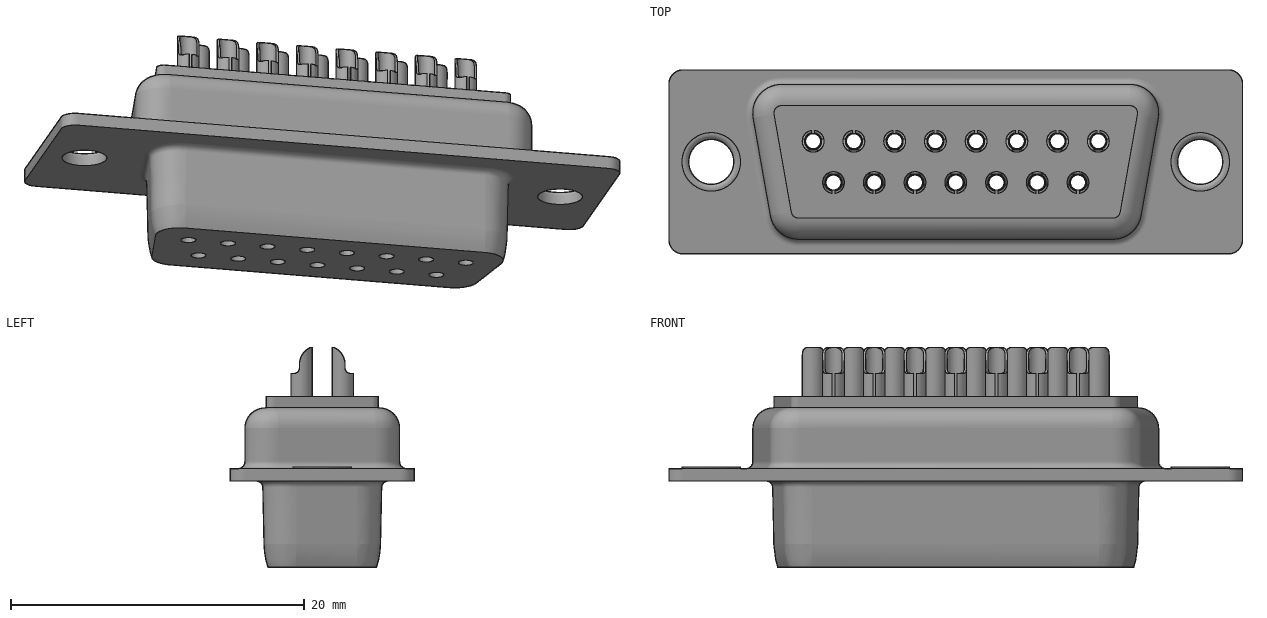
import cadquery as cq
import math


plate_length = 39.15
plate_depth = 12.55
plate_thickness = 0.85
plate_corner_radius = 0.98

mount_offset = 16.68
mount_hole_radius = 1.53
lip_radius = 2.0
lip_height = 0.1
mouth_radius = 0.35

side_lean = math.radians(10)

body_half_width = 11.82
body_half_depth = 3.85
body_corner_radius = 0.5
body_top = 5.8

shell_wall_offset = 1.45
shell_top = 5.0
shell_top_fillet = 1.4
shell_root_fillet = 0.47

plug_half_width = 12.18
plug_half_depth = 4.07
plug_corner_radius = 2.0
plug_height = 5.87
plug_nose_height = 1.55
plug_nose_inset = 0.27
plug_draft = math.radians(1.2)
plug_root_fillet = 0.45
cutter_thickness = 0.8

pin_pitch = 2.78
row_offset = 1.4
pin_counts = {1: 8, -1: 7}
pin_radius = 0.75
cup_bore_radius = 0.6
contact_bore_radius = 0.5
pin_height = 3.33
cup_step_height = 1.55
cup_step_depth = 0.6
cup_heel_radius = 0.35
cup_tip_thickness = 0.15
cup_tip_height = 1.17
cup_slit_width = 0.2

overlap = 0.2


def d_outline(half_width, half_depth, corner_radius, base_z):
    """Rounded trapezoid, wider toward +Y; half_width is taken at Y = 0."""
    lean_shift = half_depth * math.tan(side_lean)
    wide = half_width + lean_shift
    narrow = half_width - lean_shift
    corners = [
        (-wide, half_depth),
        (wide, half_depth),
        (narrow, -half_depth),
        (-narrow, -half_depth),
    ]
    blank = cq.Workplane("XY").workplane(offset=base_z).polyline(corners).close().extrude(0.4)
    return blank.edges("|Z").fillet(corner_radius).faces("<Z").wires().toPending()


def d_prism(half_width, half_depth, corner_radius, base_z, top_z):
    """Solid D-shaped prism between two heights."""
    outline = d_outline(half_width, half_depth, corner_radius, base_z).val()
    return cq.Workplane(cq.Solid.extrudeLinear(outline, [], cq.Vector(0, 0, top_z - base_z)))


def inner_edges(part, z):
    """Edges at height z that lie inside the plate's own border."""
    reach_x = mount_offset - lip_radius
    reach_y = plate_depth / 2 - 0.05
    box = cq.selectors.BoxSelector((-reach_x, -reach_y, z - 0.005), (reach_x, reach_y, z + 0.005))
    return part.edges(box)


def make_plate():
    plate = cq.Workplane("XY").rect(plate_length, plate_depth).extrude(plate_thickness)
    return plate.edges("|Z").fillet(plate_corner_radius)


def make_upper_shell():
    side_offset = shell_wall_offset / math.cos(side_lean)
    shell = d_prism(
        body_half_width + side_offset,
        body_half_depth + shell_wall_offset,
        body_corner_radius + shell_wall_offset,
        plate_thickness,
        shell_top,
    )
    return shell.faces(">Z").edges().fillet(shell_top_fillet)


def make_plug():
    """Plug with drafted walls that curve inward over the nose."""
    plug = d_prism(
        plug_half_width + cutter_thickness / 2 / math.cos(side_lean),
        plug_half_depth + cutter_thickness / 2,
        plug_corner_radius + cutter_thickness / 2,
        -plug_height,
        0,
    )
    path = d_outline(plug_half_width, plug_half_depth, plug_corner_radius, 0)
    nose_start = plug_height - plug_nose_height
    draft_inset = nose_start * math.tan(plug_draft)
    wall = -plug_half_depth
    outside = wall - cutter_thickness
    cutter = (
        cq.Workplane("YZ")
        .moveTo(outside, 0)
        .lineTo(wall, 0)
        .lineTo(wall + draft_inset, -nose_start)
        .tangentArcPoint((wall + draft_inset + plug_nose_inset, -plug_height), relative=False)
        .lineTo(wall + draft_inset + plug_nose_inset, -plug_height - overlap)
        .lineTo(outside, -plug_height - overlap)
        .close()
        .sweep(path)
    )
    return plug.cut(cutter)


def make_lip(x):
    return (
        cq.Workplane("XY", origin=(x, 0, plate_thickness))
        .circle(lip_radius)
        .extrude(lip_height)
    )


def make_mount_hole(x):
    """Through hole whose upper mouth flares out in a quarter round."""
    top = plate_thickness + lip_height
    mouth_edge = mount_hole_radius + mouth_radius
    return (
        cq.Workplane("XZ", origin=(x, 0, 0))
        .moveTo(0, -overlap)
        .lineTo(mount_hole_radius, -overlap)
        .lineTo(mount_hole_radius, top - mouth_radius)
        .tangentArcPoint((mouth_edge, top), relative=False)
        .lineTo(0, top)
        .close()
        .revolve(360, (0, 0, 0), (0, 1, 0))
    )


def make_pin(x, side):
    """Pin whose solder cup opens outward, toward side * Y."""
    center_y = side * row_offset
    pin = (
        cq.Workplane("XY", origin=(x, center_y, body_top - overlap))
        .circle(pin_radius)
        .extrude(pin_height + overlap)
    )
    tip_z = body_top + pin_height
    step_z = body_top + cup_step_height
    outer_y = pin_radius + overlap
    throat_y = pin_radius - cup_step_depth
    heel_y = throat_y + cup_heel_radius
    tip_y = -pin_radius + cup_tip_thickness
    shoulder_z = tip_z - cup_tip_height
    tip_run = throat_y - tip_y
    tip_radius = (tip_run**2 + cup_tip_height**2) / (2 * tip_run)
    half_turn = math.asin(cup_tip_height / tip_radius) / 2
    tip_mid = (
        throat_y - tip_radius * (1 - math.cos(half_turn)),
        shoulder_z + tip_radius * math.sin(half_turn),
    )
    heel_mid = (
        heel_y - cup_heel_radius * math.cos(math.pi / 4),
        step_z + cup_heel_radius * (1 - math.sin(math.pi / 4)),
    )
    points = {
        "outer_step": (outer_y, step_z),
        "heel": (heel_y, step_z),
        "heel_mid": heel_mid,
        "throat": (throat_y, step_z + cup_heel_radius),
        "shoulder": (throat_y, shoulder_z),
        "tip_mid": tip_mid,
        "tip": (tip_y, tip_z),
        "outer_tip": (outer_y, tip_z),
    }
    at = {name: (side * y, z) for name, (y, z) in points.items()}
    cup = (
        cq.Workplane("YZ", origin=(x - pin_radius - overlap, center_y, 0))
        .moveTo(*at["outer_step"])
        .lineTo(*at["heel"])
        .threePointArc(at["heel_mid"], at["throat"])
        .lineTo(*at["shoulder"])
        .threePointArc(at["tip_mid"], at["tip"])
        .lineTo(*at["outer_tip"])
        .close()
        .extrude(2 * (pin_radius + overlap))
    )
    slit = (
        cq.Workplane("XY", origin=(x, center_y + side * outer_y / 2, body_top))
        .rect(cup_slit_width, outer_y)
        .extrude(pin_height)
    )
    return pin.cut(cup).cut(slit)


def make_bore(x, side):
    """Contact bore through the connector, widening to the cup bore inside the pin."""
    bottom = -plug_height - overlap
    contact = (
        cq.Workplane("XY", origin=(x, side * row_offset, bottom))
        .circle(contact_bore_radius)
        .extrude(body_top - bottom)
    )
    return contact.faces(">Z").workplane().circle(cup_bore_radius).extrude(pin_height + overlap)


result = make_plate().union(make_upper_shell()).union(make_plug())
result = inner_edges(result, plate_thickness).fillet(shell_root_fillet)
result = inner_edges(result, 0).fillet(plug_root_fillet)

result = result.union(
    d_prism(body_half_width, body_half_depth, body_corner_radius, plate_thickness, body_top)
)

for x in (-mount_offset, mount_offset):
    result = result.union(make_lip(x)).cut(make_mount_hole(x))

for side, count in pin_counts.items():
    for index in range(count):
        x = (index - (count - 1) / 2) * pin_pitch
        result = result.union(make_pin(x, side)).cut(make_bore(x, side))